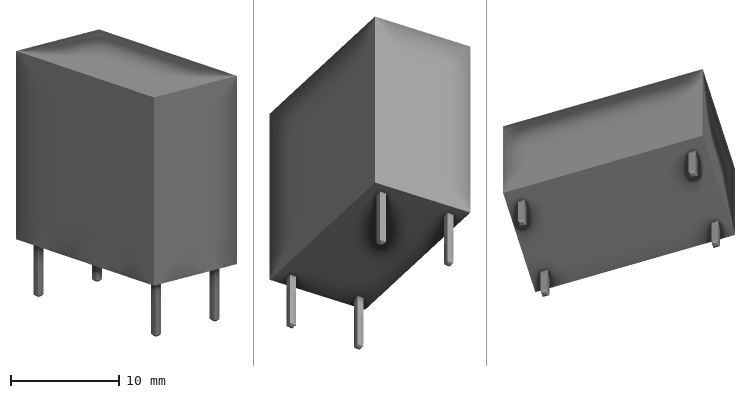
import cadquery as cq

TOTAL_HEIGHT = 23.75
HOUSING_LENGTH = 19.3
HOUSING_WIDTH = 10.2

PIN_LENGTH = 5.5
PIN_SIDE = 0.65
PIN_TIP_CHAMFER = 0.2
PIN_SPACING_X = 16.5
PIN_SPACING_Y = 7.2

HOUSING_HEIGHT = TOTAL_HEIGHT - PIN_LENGTH


def make_housing():
    """Plain rectangular block standing on the plane Z = 0."""
    return cq.Workplane("XY").box(
        HOUSING_LENGTH, HOUSING_WIDTH, HOUSING_HEIGHT, centered=(True, True, False)
    )


def make_pin(x, y):
    """Square pin hanging from the housing underside, with a chamfered tip."""
    pin = cq.Workplane("XY").center(x, y).rect(PIN_SIDE, PIN_SIDE).extrude(-PIN_LENGTH)
    return pin.faces("<Z").edges().chamfer(PIN_TIP_CHAMFER)


housing = make_housing()

pins = []
for x in (-PIN_SPACING_X / 2, PIN_SPACING_X / 2):
    for y in (-PIN_SPACING_Y / 2, PIN_SPACING_Y / 2):
        pins.append(make_pin(x, y).val())

result = cq.Compound.makeCompound([housing.val(), *pins])